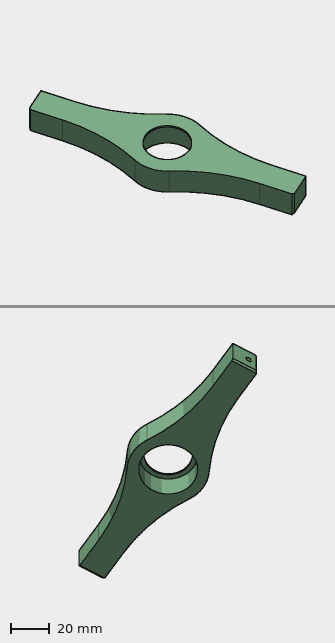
import cadquery as cq
import math

length = 150.0
thickness = 15.0
arm_width = 15.0
hub_wall = 6.0
bore_diameter = 25.0
counterbore_diameter = 30.2
lip_thickness = 1.0
flank_radius = 100.0
end_chamfer = 1.0
pin_hole_diameter = 3.0
pin_hole_depth = 10.0
pin_hole_offset_y = -2.0

half_length = length / 2
half_arm = arm_width / 2
hub_radius = counterbore_diameter / 2 + hub_wall
bottom_z = -thickness / 2

flank_center_y = half_arm + flank_radius
center_distance = hub_radius + flank_radius
flank_center_x = math.sqrt(center_distance**2 - flank_center_y**2)
hub_tangent_x = flank_center_x * hub_radius / center_distance
hub_tangent_y = flank_center_y * hub_radius / center_distance


def flank_midpoint():
    """Return the middle of the flank arc in the +X, +Y quadrant."""
    sweep = math.atan2(flank_center_x, flank_center_y)
    mid_x = flank_center_x - flank_radius * math.sin(sweep / 2)
    mid_y = flank_center_y - flank_radius * math.cos(sweep / 2)
    return mid_x, mid_y


def make_body():
    """Flat bar whose sides swell through tangent arcs into a round hub."""
    mid_x, mid_y = flank_midpoint()
    upper_half = (
        cq.Workplane("XY", origin=(0, 0, bottom_z))
        .moveTo(-half_length, 0)
        .lineTo(-half_length, half_arm)
        .lineTo(-flank_center_x, half_arm)
        .threePointArc((-mid_x, mid_y), (-hub_tangent_x, hub_tangent_y))
        .threePointArc((0, hub_radius), (hub_tangent_x, hub_tangent_y))
        .threePointArc((mid_x, mid_y), (flank_center_x, half_arm))
        .lineTo(half_length, half_arm)
        .lineTo(half_length, 0)
    )
    return upper_half.mirrorX().extrude(thickness)


def chamfer_ends(body):
    """Break the bottom edge and the -Y upright edge of both end faces."""
    edges = body.faces("<X or >X").edges("<Z or <Y")
    return edges.chamfer(end_chamfer)


def make_bore():
    """Through bore with a wide seat from below, leaving a thin lip at the top."""
    bottom = cq.Workplane("XY", origin=(0, 0, bottom_z))
    through = bottom.circle(bore_diameter / 2).extrude(thickness)
    seat = bottom.circle(counterbore_diameter / 2).extrude(thickness - lip_thickness)
    return through.union(seat)


def make_pin_hole():
    """Blind hole entering the -X end face, offset toward -Y."""
    return (
        cq.Workplane("YZ", origin=(-half_length, 0, 0))
        .center(pin_hole_offset_y, 0)
        .circle(pin_hole_diameter / 2)
        .extrude(pin_hole_depth)
    )


result = chamfer_ends(make_body()).cut(make_bore()).cut(make_pin_hole())